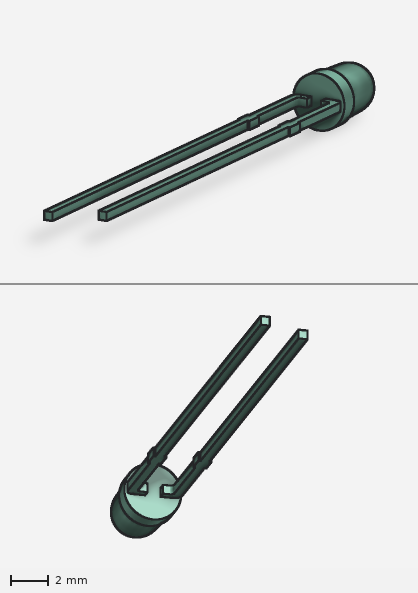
import cadquery as cq

TOTAL_LENGTH = 31.6

BODY_LENGTH = 4.6
FLANGE_DIAMETER = 3.2
FLANGE_LENGTH = 1.05
LENS_BASE_DIAMETER = 2.97
DOME_RADIUS = 1.4

LEAD_THICKNESS = 0.5
LEAD_PITCH = 2.53
FOOT_INNER_X = 0.45
OUTER_BEND_RADIUS = 0.4
INNER_BEND_RADIUS = 0.2
LONG_LEAD_LENGTH = TOTAL_LENGTH - BODY_LENGTH
LEAD_LENGTH_DIFFERENCE = 1.5
SHORT_LEAD_LENGTH = LONG_LEAD_LENGTH - LEAD_LENGTH_DIFFERENCE

STOP_SPAN = 3.25
STOP_DISTANCE = 4.87
STOP_LENGTH = 1.05

LEAD_CENTRE_X = LEAD_PITCH / 2
LEAD_OUTER_X = LEAD_CENTRE_X + LEAD_THICKNESS / 2
LEAD_INNER_X = LEAD_CENTRE_X - LEAD_THICKNESS / 2
STOP_WIDTH = STOP_SPAN - LEAD_PITCH


def make_body():
    """Flange, tapered barrel and hemispherical dome."""
    dome_start = BODY_LENGTH - DOME_RADIUS
    flange_radius = FLANGE_DIAMETER / 2
    dome = cq.Workplane("XY").sphere(DOME_RADIUS).translate((0, dome_start, 0))
    barrel = (
        cq.Workplane("XY")
        .lineTo(flange_radius, 0)
        .lineTo(flange_radius, FLANGE_LENGTH)
        .lineTo(LENS_BASE_DIAMETER / 2, FLANGE_LENGTH)
        .lineTo(DOME_RADIUS, dome_start)
        .lineTo(0, dome_start)
        .close()
        .revolve(360, (0, 0, 0), (0, 1, 0))
    )
    return barrel.union(dome)


def make_lead(length):
    """Lead on the +X side: a foot against the body, a bend, a straight leg and a stop."""
    bent_wire = (
        cq.Workplane("XY")
        .moveTo(FOOT_INNER_X, 0)
        .lineTo(LEAD_OUTER_X - OUTER_BEND_RADIUS, 0)
        .radiusArc((LEAD_OUTER_X, -OUTER_BEND_RADIUS), OUTER_BEND_RADIUS)
        .lineTo(LEAD_OUTER_X, -length)
        .lineTo(LEAD_INNER_X, -length)
        .lineTo(LEAD_INNER_X, -LEAD_THICKNESS - INNER_BEND_RADIUS)
        .radiusArc((LEAD_INNER_X - INNER_BEND_RADIUS, -LEAD_THICKNESS), -INNER_BEND_RADIUS)
        .lineTo(FOOT_INNER_X, -LEAD_THICKNESS)
        .close()
        .extrude(LEAD_THICKNESS / 2, both=True)
    )
    stop = (
        cq.Workplane("XY")
        .box(STOP_WIDTH, STOP_LENGTH, LEAD_THICKNESS)
        .translate((LEAD_CENTRE_X, -STOP_DISTANCE - STOP_LENGTH / 2, 0))
    )
    return bent_wire.union(stop)


short_lead = make_lead(SHORT_LEAD_LENGTH)
long_lead = make_lead(LONG_LEAD_LENGTH).mirror("YZ")
result = make_body().union(short_lead).union(long_lead)